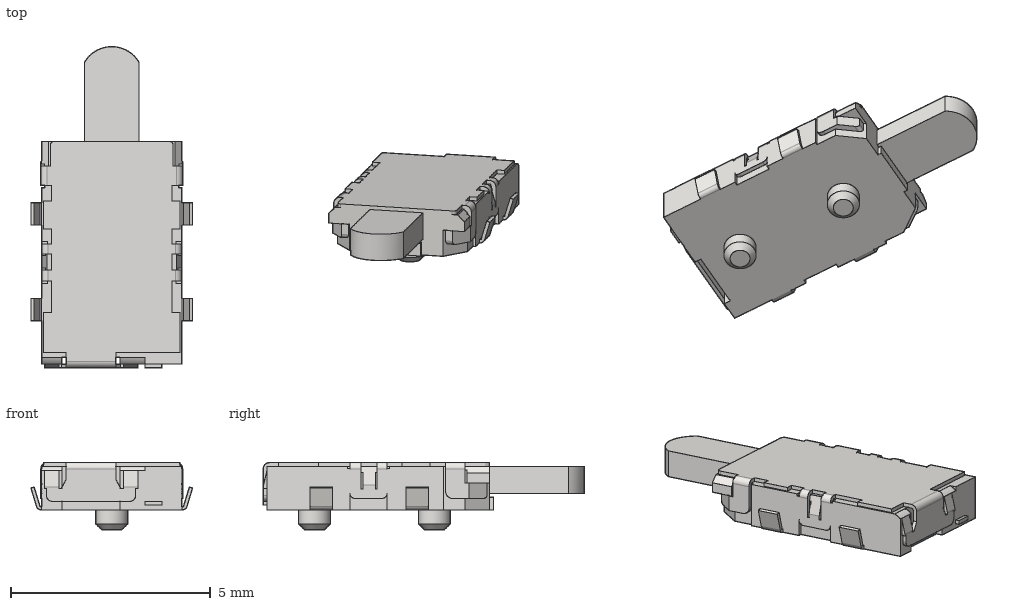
import cadquery as cq
import math


body_half = 1.755
body_length = 5.58
body_height = 1.095

sheet = 0.1
bend_radius = 0.16
cover_top = body_height + sheet
cover_half = 1.71
cover_front = 0.29
cover_slot_half = 1.51

front_tongue = (-1.14, 0.105)
front_foot = (-1.635, 0.595)
front_foot_top = 0.54
front_foot_bottom = 0.22
front_foot_round = 0.145
flare_height = 0.225
flare_width = 0.12
front_gap = (-1.25, 0.2)
front_gap_depth = 0.17

front_hooks = ((-1.68, -1.32), (0.3, 0.65))
rounded_edges = ((-body_half, front_gap[0]), (front_gap[1], 0.84))
edge_drop = 0.105
edge_radius = 0.4
front_hook_top = body_height - edge_drop
front_hook_tip = 0.58
front_rib = (0.83, 1.255)
front_rib_bottom = 0.12
front_rib_top = 0.22

side_flap_bottom = 0.29
side_flap_round = 0.13
rear_flap_round = 0.18
mid_flap = (2.08, 3.01)
mid_slot = (2.36, 2.75)
mid_slot_bottom = 0.53
relief_width = 0.06
relief_depth = 0.145
relief_bottom = 1.04
side_hook = (2.41, 2.71)
side_hook_shoulder = 0.94
side_hook_tip = 0.63
side_hook_root = body_half - 0.14
rear_flap = (4.475, 4.96)
rear_flap_half = 1.78
rear_recess_start = 4.42
side_slots = ((1.3, mid_flap[0]), (mid_flap[1], 3.38), (4.08, rear_flap[0]))

taper_angle = math.radians(37.5)
shelf_start = 5.01
shelf_bottom = 0.68
shelf_slope_start = 1.585
shelf_slope_drop = 0.17
wing_bend = 5.06
wing_end = 5.515
wing_round = 0.1
cover_rear_half = 1.54
cover_rear_round = 0.1

plunger_half = 0.685
plunger_bottom = 0.41
plunger_shoulder = 7.56
plunger_tip = 7.95

foot_half = 0.64
foot_reach = 0.1
foot_height = 0.32

leg_starts = (1.08, 3.48)
leg_width = 0.56
leg_reach = 2.03
leg_top = 0.58
leg_thickness = 0.09
leg_angle = math.radians(17)
leg_bend_radius = 0.13

peg_places = (1.19, 4.195)
peg_radius = 0.4
peg_length = 0.5
peg_chamfer = 0.15


def block(x_range, y_range, z_range):
    """Axis-aligned block between the given limits."""
    size = [high - low for low, high in (x_range, y_range, z_range)]
    corner = (x_range[0], y_range[0], z_range[0])
    return cq.Workplane("XY").box(*size, centered=False).translate(corner)


def prism_along_y(sketch, y_range):
    """Extrude an outline drawn in X and Z over the given Y range."""
    return sketch.extrude(y_range[0] - y_range[1]).translate((0, y_range[0], 0))


def both_sides(shape):
    """The shape together with its mirror image on the -X side."""
    return shape.union(shape.mirror("YZ"))


def bent_strip(start, outer, bottom, width_range):
    """Sheet running along +X from start, then folded down at outer; its width lies along Y."""
    bend_start = outer - bend_radius
    bend_end = cover_top - bend_radius
    inner_radius = bend_radius - sheet
    diagonal = math.sqrt(0.5)
    profile = (
        cq.Workplane("XZ")
        .moveTo(start, cover_top)
        .lineTo(bend_start, cover_top)
        .threePointArc(
            (bend_start + bend_radius * diagonal, bend_end + bend_radius * diagonal),
            (outer, bend_end),
        )
        .lineTo(outer, bottom)
        .lineTo(outer - sheet, bottom)
        .lineTo(outer - sheet, bend_end)
        .threePointArc(
            (bend_start + inner_radius * diagonal, bend_end + inner_radius * diagonal),
            (bend_start, body_height),
        )
        .lineTo(start, body_height)
        .close()
    )
    return prism_along_y(profile, width_range)


def taper_inset(run):
    """Distance that the tapered rear corner moves inward over a run along Y."""
    return run * math.tan(taper_angle)


def make_housing():
    housing = block((-body_half, body_half), (0, body_length), (0, body_height))
    full_height = (0, body_height)

    housing = housing.cut(block(front_gap, (0, front_gap_depth), full_height))

    for x_range in rounded_edges:
        waste = (
            cq.Workplane("YZ")
            .moveTo(front_gap_depth, body_height)
            .radiusArc((0, body_height - edge_drop), -edge_radius)
            .lineTo(0, body_height)
            .close()
            .extrude(x_range[1] - x_range[0])
            .translate((x_range[0], 0, 0))
        )
        housing = housing.cut(waste)

    mid_wall = body_half - sheet
    rear_wall = rear_flap_half - sheet
    recesses = block((mid_wall, body_half), mid_flap, full_height)
    recesses = recesses.union(block((rear_wall, body_half), (rear_recess_start, body_length), full_height))
    taper = (
        cq.Workplane("XY")
        .moveTo(rear_wall, rear_flap[1])
        .lineTo(rear_wall - taper_inset(body_length - rear_flap[1]), body_length)
        .lineTo(body_half, body_length)
        .lineTo(body_half, rear_flap[1])
        .close()
        .extrude(shelf_bottom)
    )
    housing = housing.cut(both_sides(recesses.union(taper)))

    pocket = block((side_hook_root, body_half), mid_slot, (side_hook_shoulder, body_height))
    housing = housing.cut(both_sides(pocket))

    for start in (mid_flap[0] - relief_width, mid_flap[1]):
        y_range = (start, start + relief_width)
        relief = block((body_half - relief_depth, body_half), y_range, (relief_bottom, body_height))
        housing = housing.cut(both_sides(relief))

    slope_bottom = body_height - shelf_slope_drop
    shelf = (
        cq.Workplane("XZ")
        .moveTo(shelf_slope_start, body_height)
        .lineTo(body_half, slope_bottom)
        .lineTo(body_half, shelf_bottom)
        .lineTo(shelf_slope_start, shelf_bottom)
        .close()
    )
    slope_waste = (
        cq.Workplane("XZ")
        .moveTo(shelf_slope_start, body_height)
        .lineTo(body_half, slope_bottom)
        .lineTo(body_half, body_height)
        .close()
    )
    housing = housing.cut(both_sides(prism_along_y(slope_waste, (rear_flap[1], body_length))))
    housing = housing.union(both_sides(prism_along_y(shelf, (shelf_start, body_length))))

    foot = block((-foot_half, foot_half), (body_length, body_length + foot_reach), (0, foot_height))
    return housing.union(foot)


def make_top_plate():
    half_outline = block((0, cover_half), (cover_front, rear_flap[1]), (body_height, cover_top))
    for y_range in side_slots + (mid_flap, rear_flap):
        half_outline = half_outline.cut(
            block((cover_slot_half, cover_half), y_range, (body_height, cover_top))
        )
    plate = both_sides(half_outline)
    rear_part = block(
        (-cover_rear_half, cover_rear_half), (rear_flap[0], body_length), (body_height, cover_top)
    )
    return plate.union(rear_part.edges("|Z and >Y").fillet(cover_rear_round))


def make_front_flap():
    tongue = bent_strip(-cover_front, sheet, front_foot_top, front_tongue)
    tongue = tongue.rotate((0, 0, 0), (0, 0, 1), -90)
    foot = block(front_foot, (-sheet, 0), (front_foot_bottom, front_foot_top))
    flap = tongue.union(foot.edges("|Y and <Z").fillet(front_foot_round))

    for side, outward in zip(front_tongue, (-1, 1)):
        flare = (
            cq.Workplane("XZ")
            .moveTo(side, front_foot_top + flare_height)
            .lineTo(side, front_foot_top)
            .lineTo(side + outward * flare_width, front_foot_top)
            .close()
        )
        flap = flap.union(prism_along_y(flare, (-sheet, 0)))
    return flap


def make_mid_flap():
    flap = bent_strip(cover_slot_half, body_half, side_flap_bottom, mid_flap)
    flap = flap.edges("|X and <Z").fillet(side_flap_round)
    slot = block((cover_slot_half, body_half), mid_slot, (mid_slot_bottom, cover_top))
    return flap.cut(slot)


def make_rear_flap():
    flap = bent_strip(cover_slot_half, rear_flap_half, side_flap_bottom, rear_flap)
    flap = flap.edges("|X and <Z and <Y").fillet(rear_flap_round)

    wing_inner = rear_flap_half - sheet
    wing = (
        cq.Workplane("XY")
        .moveTo(rear_flap_half, rear_flap[1])
        .lineTo(rear_flap_half, wing_bend)
        .lineTo(rear_flap_half - taper_inset(wing_end - wing_bend), wing_end)
        .lineTo(wing_inner - taper_inset(wing_end - rear_flap[1]), wing_end)
        .lineTo(wing_inner, rear_flap[1])
        .close()
        .extrude(shelf_bottom - side_flap_bottom)
        .translate((0, 0, side_flap_bottom))
    )
    wing_outline = block((0, rear_flap_half), (rear_flap[0], wing_end), (side_flap_bottom, shelf_bottom))
    return flap.union(wing.intersect(wing_outline.edges("|X and <Z and >Y").fillet(wing_round)))


def make_front_details():
    """Hooks and rib standing out from the front wall as far as the cover flap."""
    details = block(front_rib, (-sheet, 0), (front_rib_bottom, front_rib_top))
    for x_range in front_hooks:
        hook = (
            cq.Workplane("YZ")
            .moveTo(0, front_hook_top)
            .lineTo(-sheet, front_hook_tip)
            .lineTo(-sheet, front_foot_top)
            .lineTo(0, front_foot_top)
            .close()
            .extrude(x_range[1] - x_range[0])
            .translate((x_range[0], 0, 0))
        )
        details = details.union(hook)
    return details


def make_side_hook():
    """Ramp in the slot of the middle flap, full width above its shoulder and narrower below."""
    ramp = (
        cq.Workplane("XZ")
        .moveTo(side_hook_root, body_height)
        .lineTo(body_half, side_hook_tip)
        .lineTo(body_half, mid_slot_bottom)
        .lineTo(side_hook_root, mid_slot_bottom)
        .close()
    )
    x_range = (side_hook_root, body_half)
    allowed = block(x_range, side_hook, (mid_slot_bottom, body_height))
    allowed = allowed.union(block(x_range, mid_slot, (side_hook_shoulder, body_height)))
    return prism_along_y(ramp, mid_slot).intersect(allowed)


def make_plunger():
    return (
        cq.Workplane("XY")
        .moveTo(-plunger_half, body_length)
        .lineTo(-plunger_half, plunger_shoulder)
        .threePointArc((0, plunger_tip), (plunger_half, plunger_shoulder))
        .lineTo(plunger_half, body_length)
        .close()
        .extrude(body_height - plunger_bottom)
        .translate((0, 0, plunger_bottom))
    )


def make_leg(start):
    """Leg leaving the housing at its underside and rising outward."""
    across = (math.cos(leg_angle), math.sin(leg_angle))
    tip_inner_x = leg_reach - leg_thickness * across[0]
    tip_outer = (leg_reach, leg_top - leg_thickness * across[1])
    slope = math.tan(leg_angle)
    bend_x = tip_outer[0] - tip_outer[1] * slope
    profile = (
        cq.Workplane("XZ")
        .moveTo(tip_inner_x, leg_top)
        .lineTo(*tip_outer)
        .lineTo(bend_x, 0)
        .lineTo(body_half - leg_thickness, 0)
        .lineTo(body_half - leg_thickness, leg_thickness)
        .lineTo(tip_inner_x - (leg_top - leg_thickness) * slope, leg_thickness)
        .close()
    )
    leg = prism_along_y(profile, (start, start + leg_width))
    return leg.edges(cq.NearestToPointSelector((bend_x, start + leg_width / 2, 0))).fillet(leg_bend_radius)


def make_peg(place):
    peg = cq.Workplane("XY").circle(peg_radius).extrude(-peg_length)
    return peg.faces("<Z").chamfer(peg_chamfer).translate((0, place, 0))


result = make_housing().union(make_top_plate()).union(make_front_flap())
for side_part in (make_mid_flap(), make_rear_flap(), make_side_hook()):
    result = result.union(both_sides(side_part))
result = result.union(make_front_details()).union(make_plunger())
for leg_start in leg_starts:
    result = result.union(both_sides(make_leg(leg_start)))
for peg_place in peg_places:
    result = result.union(make_peg(peg_place))